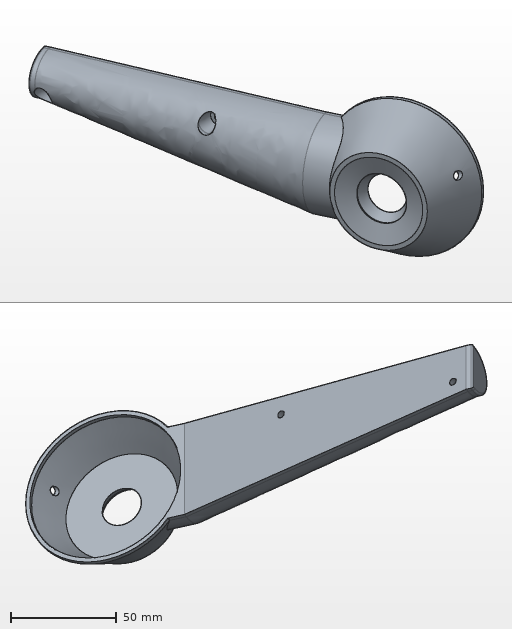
import cadquery as cq
import math


total_length = 244
total_depth = 63.5

hub_back_radius = 41.0
hub_front_radius = 25.4
hub_depth = 30.3
rim_width = 2.2
wall = 2.2

dish_radius = 23.0
dish_depth = 3.5
throat_front_radius = 13.0
throat_back_radius = 10.0
throat_step = 0.7
throat_depth = 6.5

neck_radius = hub_front_radius
neck_start_x = -40.7
tip_x = hub_back_radius - total_length
tip_back_y = total_depth - hub_depth
tip_half_height = 12.2
tip_depth = 18.0
cap_length = 3.5
tip_fillet = 1.0
taper_end_x = tip_x + cap_length

screw_holes = [(-99.3, 11.0), (-195.5, -5.4)]
screw_mouth_diameter = 10.0
screw_seat_diameter = 8.0
screw_shank_diameter = 3.7
screw_seat_depth = 8.5

set_screw_diameter = 4.5
set_screw_angle = 20.5
set_screw_y = -12.2

hub_taper = (hub_back_radius - hub_front_radius) / (hub_depth - rim_width)
arm_lean = math.atan2(tip_back_y, neck_start_x - taper_end_x)

throat_front_y = -hub_depth + dish_depth
hollow_floor_y = throat_front_y + throat_depth


def hub_radius(y):
    """Outer radius of the hub cone at a given Y."""
    return hub_back_radius + (y + rim_width) * hub_taper


def turned(points):
    """Solid turned about the Y axis from an (r, y) outline that ends on the axis."""
    return cq.Workplane("XY").polyline(points).close().revolve(360, (0, 0, 0), (0, 1, 0))


def arm_section(x, back_y, half_height, depth):
    """Flat-backed section in a plane of constant X: short straight sides and an elliptical front."""
    side_y = back_y - rim_width
    return (
        cq.Workplane("YZ", origin=(x, 0, 0))
        .moveTo(back_y, half_height)
        .lineTo(side_y, half_height)
        .ellipseArc(depth - rim_width, half_height, 90, 270, startAtCurrent=True, sense=1)
        .lineTo(back_y, -half_height)
        .close()
    )


def make_hub():
    return turned([
        (0, 0),
        (hub_back_radius, 0),
        (hub_back_radius, -rim_width),
        (hub_front_radius, -hub_depth),
        (0, -hub_depth),
    ])


def make_hub_hollow():
    return turned([
        (0, 0),
        (hub_back_radius - wall, 0),
        (hub_back_radius - wall, -rim_width),
        (hub_radius(hollow_floor_y) - wall, hollow_floor_y),
        (0, hollow_floor_y),
    ])


def make_dish_and_throat():
    return turned([
        (0, -hub_depth),
        (dish_radius, -hub_depth),
        (throat_front_radius, throat_front_y),
        (throat_front_radius, throat_front_y + throat_step),
        (throat_back_radius, hollow_floor_y),
        (0, hollow_floor_y),
    ])


def make_arm():
    neck_section = (0, neck_radius, rim_width + neck_radius)
    tip_section = (tip_back_y, tip_half_height, tip_depth)
    neck = arm_section(neck_start_x, *neck_section).extrude(-neck_start_x)
    taper_ends = [
        arm_section(neck_start_x, *neck_section).wire().val(),
        arm_section(taper_end_x, *tip_section).wire().val(),
    ]
    taper = cq.Workplane(cq.Solid.makeLoft(taper_ends, True))
    cap = arm_section(tip_x, *tip_section).extrude(cap_length).faces("<X").edges().fillet(tip_fillet)
    return neck.union(taper).union(cap)


def arm_front_y(x, z):
    """Y of the front surface of the arm's taper at a given X and Z."""
    share = (neck_start_x - x) / (neck_start_x - taper_end_x)
    half_height = neck_radius + share * (tip_half_height - neck_radius)
    bulge = neck_radius + share * (tip_depth - rim_width - neck_radius)
    return share * tip_back_y - rim_width - bulge * math.sqrt(1 - (z / half_height) ** 2)


def make_screw_hole(x, z):
    """Tapered head recess and a shank hole, square to the arm's flat back."""
    inward = cq.Vector(math.sin(arm_lean), math.cos(arm_lean), 0)
    mouth = cq.Vector(x, arm_front_y(x, z), z)
    mouth_radius = screw_mouth_diameter / 2
    entry = cq.Solid.makeCylinder(mouth_radius, mouth_radius, mouth - inward * mouth_radius, inward)
    head = cq.Solid.makeCone(mouth_radius, screw_seat_diameter / 2, screw_seat_depth, mouth, inward)
    shank = cq.Solid.makeCylinder(screw_shank_diameter / 2, hub_depth, mouth, inward)
    return cq.Workplane(entry).union(cq.Workplane(head)).union(cq.Workplane(shank))


def make_set_screw_hole():
    angle = math.radians(set_screw_angle)
    outward = cq.Vector(math.cos(angle), 0, math.sin(angle))
    start = outward * dish_radius + cq.Vector(0, set_screw_y, 0)
    length = hub_back_radius - dish_radius
    return cq.Workplane(cq.Solid.makeCylinder(set_screw_diameter / 2, length, start, outward))


result = make_hub().union(make_arm())
result = result.cut(make_hub_hollow()).cut(make_dish_and_throat()).cut(make_set_screw_hole())
for hole_x, hole_z in screw_holes:
    result = result.cut(make_screw_hole(hole_x, hole_z))